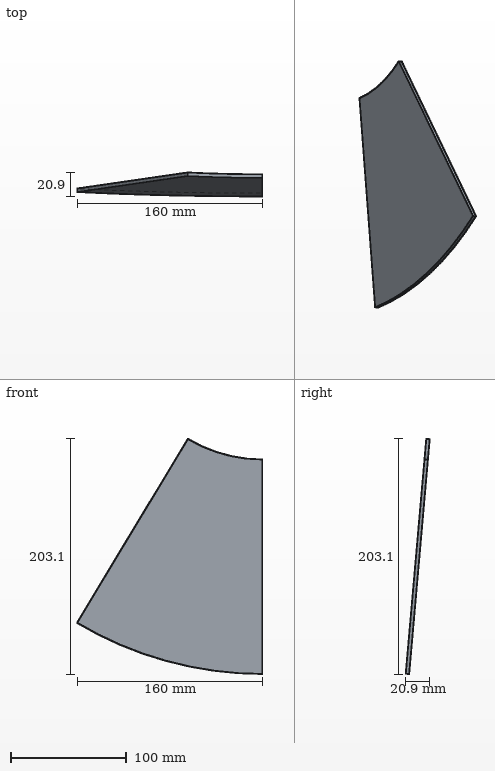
import cadquery as cq
import math

OUTER_RADIUS = 310.67
INNER_RADIUS = 124.9
SECTOR_ANGLE = 31.0
THICKNESS = 3.175
LEAN_ANGLE = 5.0


def sector_point(radius, angle):
    """Point below the sector apex, swung by the angle (degrees) toward -X."""
    swing = math.radians(angle)
    return (-radius * math.sin(swing), -radius * math.cos(swing))


def make_sector_plate():
    """Upright plate with its sector apex at the origin and its faces parallel to XZ."""
    half_angle = SECTOR_ANGLE / 2
    return (
        cq.Workplane("XZ")
        .moveTo(*sector_point(INNER_RADIUS, 0))
        .lineTo(*sector_point(OUTER_RADIUS, 0))
        .threePointArc(
            sector_point(OUTER_RADIUS, half_angle),
            sector_point(OUTER_RADIUS, SECTOR_ANGLE),
        )
        .lineTo(*sector_point(INNER_RADIUS, SECTOR_ANGLE))
        .threePointArc(
            sector_point(INNER_RADIUS, half_angle),
            sector_point(INNER_RADIUS, 0),
        )
        .close()
        .extrude(THICKNESS)
    )


def lean_back(plate):
    """Tilt the plate about the X axis through the sector apex."""
    return plate.rotate((0, 0, 0), (1, 0, 0), -LEAN_ANGLE)


result = lean_back(make_sector_plate())